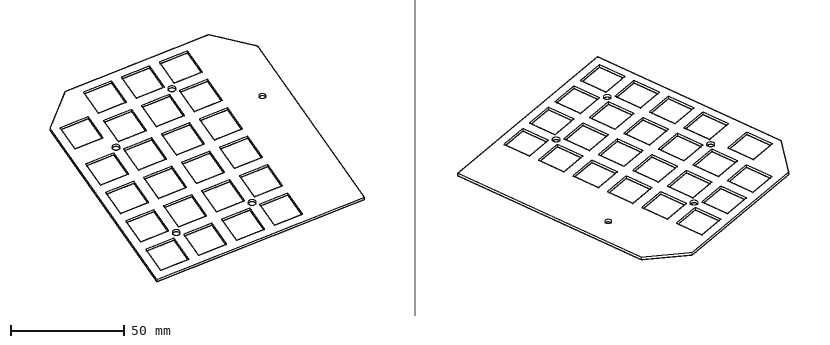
import cadquery as cq

LENGTH = 117.2
WIDTH = 104.0
THICKNESS = 1.5
CORNER_CUT = 16.1

CUTOUT = 14.1
PITCH = 19.0
COLUMNS = 6
ROWS = 4
BOTTOM_MARGIN = 4.1
WIDE_KEY_SHIFT = 13.8

SCREW_DIAMETER = 3.5
SMALL_HOLE_DIAMETER = 3.0
SMALL_HOLE_X = -15.5
SMALL_HOLE_FROM_TOP = 12.0


def column_x(column):
    """X of a column centre, counted from the left; halves lie between columns."""
    return (column - (COLUMNS - 1) / 2) * PITCH


def row_y(row):
    """Y of a row centre, counted from the bottom; halves lie between rows."""
    return -WIDTH / 2 + BOTTOM_MARGIN + CUTOUT / 2 + row * PITCH


def make_plate():
    """Flat plate with both left corners cut off at 45 degrees."""
    plate = cq.Workplane("XY").box(LENGTH, WIDTH, THICKNESS)
    return plate.edges("|Z and <X").chamfer(CORNER_CUT)


def key_centres():
    """Full upper rows; in the bottom row one shifted key replaces the first two."""
    centres = [
        (column_x(column), row_y(row))
        for row in range(1, ROWS)
        for column in range(COLUMNS)
    ]
    centres.append((column_x(0) + WIDE_KEY_SHIFT, row_y(0)))
    centres += [(column_x(column), row_y(0)) for column in range(2, COLUMNS)]
    return centres


def through_cutter(sketch):
    """Extrude pending outlines through the plate thickness, both ways."""
    return sketch.extrude(THICKNESS, both=True)


screw_centres = [
    (column_x(0.5), row_y(2.5)),
    (column_x(4.5), row_y(2.5)),
    (column_x(1.5), row_y(0.5)),
    (column_x(4.5), row_y(0.5)),
]
small_hole_centre = (SMALL_HOLE_X, WIDTH / 2 - SMALL_HOLE_FROM_TOP)

keys = through_cutter(cq.Workplane("XY").pushPoints(key_centres()).rect(CUTOUT, CUTOUT))
screws = through_cutter(cq.Workplane("XY").pushPoints(screw_centres).circle(SCREW_DIAMETER / 2))
small_hole = through_cutter(
    cq.Workplane("XY").center(*small_hole_centre).circle(SMALL_HOLE_DIAMETER / 2)
)

result = make_plate().cut(keys).cut(screws).cut(small_hole)